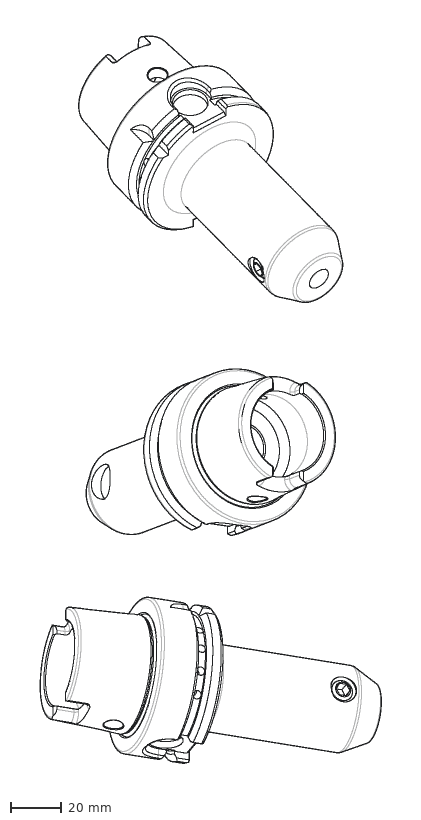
import cadquery as cq
import math


LENGTH = 132.0
TAPER_END = 29.8
FLANGE_FRONT = 31.8
FLANGE_BACK = 58.0
GROOVE_CENTRE = 49.9
NOSE_START = 120.8

SHANK_END_RADIUS = 22.6
SHANK_BASE_RADIUS = 24.0
UNDERCUT_RADIUS = 23.5
UNDERCUT_BEVEL_LENGTH = 0.8
FACE_RECESS_RADIUS = 25.2
FACE_RECESS_DEPTH = 0.5
FLANGE_DIAMETER = 63.0
FLANGE_RADIUS = FLANGE_DIAMETER / 2
GROOVE_RADIUS = 27.5
GROOVE_FLOOR_WIDTH = 3.3
GROOVE_MOUTH_WIDTH = 6.6
GROOVE_BEVEL_DEPTH = 2.8
RIM_BEVEL_LENGTH = 0.9
RIM_BEVEL_DROP = 0.3
BODY_RADIUS = 17.5
NECK_FILLET = 5.0
NOSE_ANGLE = 27.0
NOSE_SHOULDER_FILLET = 2.6
EDGE_ROUND = 0.9
TIP_ROUND = 1.3

CAVITY_RADIUS = 17.0
CAVITY_MOUTH_RADIUS = 17.5
CAVITY_LAND_END = 12.7
CAVITY_INNER_RADIUS = 19.1
CAVITY_FLOOR_X = 31.7
CAVITY_FLOOR_RADIUS = 15.8
CAVITY_FLOOR_BEVEL = 2.6
COOLANT_PORT_RADIUS = 8.8
COOLANT_PORT_MOUTH_RADIUS = 9.4
COOLANT_PORT_DEPTH = 10.5
BORE_RADIUS = 4.6

DRIVE_SLOT_WIDTH = 12.1
TOP_DRIVE_SLOT_DEPTH = 6.1
BOTTOM_DRIVE_SLOT_DEPTH = 9.9
DRIVE_SLOT_CORNER = 1.5
DRIVE_SLOT_MOUTH_BEVEL = 1.2
DRIVE_SLOT_LIP_ROUND = 3.2

CROSS_HOLE_X = 22.8
CROSS_HOLE_RADIUS = 3.8
CROSS_HOLE_BEVEL = 0.33

KEY_SLOT_X = 44.9
KEY_SLOT_RADIUS = 7.9
KEY_SLOT_FLOOR = 26.5
KEY_SLOT_BEVEL = 1.2
KEY_POCKET_RADIUS = 7.0
KEY_POCKET_DEPTH = 2.9

NOTCH_OFFSET = 20.0
NOTCH_CUTTER_RADIUS = 7.8
NOTCH_X = 44.9

BALANCE_HOLE_RADIUS = 1.65
BALANCE_HOLE_DEPTH = 6.6
BALANCE_HOLE_ANGLES = [25, 5, -15, -35]
RELIEF_HOLE_X = 111.7
RELIEF_HOLE_RADIUS = 7.0
RELIEF_HOLE_FLOOR = 13.2

SCREW_X = 113.8
SCREW_RADIUS = 4.4
SCREW_BEVEL = 1.2
SCREW_HEAD_Y = -16.6
SCREW_TIP_Y = -5.3
SCREW_HOLE_MOUTH_RADIUS = 5.4
HEX_ACROSS_FLATS = 5.0
HEX_DEPTH = 5.3

CLEARANCE = 1.3
TOLERANCE = 0.01


def revolved(points):
    """Solid of revolution about X from (x, radius) points, closed along the axis."""
    outline = [(points[0][0], 0), *points, (points[-1][0], 0)]
    return cq.Workplane("XY").polyline(outline).close().revolve(360, (0, 0, 0), (1, 0, 0))


def revolved_ring(points):
    """Ring about X whose section is the closed outline through (x, radius) points."""
    return cq.Workplane("XY").polyline(points).close().revolve(360, (0, 0, 0), (1, 0, 0))


def round_ring(body, x, radius, fillet):
    """Fillet the circular edge of the given radius at station x."""
    def is_ring(edge):
        box = edge.BoundingBox()
        at_station = abs(box.center.x - x) < TOLERANCE and box.xlen < TOLERANCE
        return at_station and abs(box.zlen - 2 * radius) < 2 * TOLERANCE

    return body.edges().filter(is_ring).fillet(fillet)


def turned_outside():
    nose_drop = (LENGTH - NOSE_START) * math.tan(math.radians(NOSE_ANGLE))
    tip_radius = BODY_RADIUS - nose_drop
    recess_floor_x = FLANGE_FRONT + FACE_RECESS_DEPTH
    recess_floor_radius = FACE_RECESS_RADIUS - FACE_RECESS_DEPTH
    body = revolved([
        (0, SHANK_END_RADIUS),
        (TAPER_END, SHANK_BASE_RADIUS),
        (TAPER_END + UNDERCUT_BEVEL_LENGTH, UNDERCUT_RADIUS),
        (recess_floor_x - recess_floor_radius + UNDERCUT_RADIUS, UNDERCUT_RADIUS),
        (recess_floor_x, recess_floor_radius),
        (FLANGE_FRONT, FACE_RECESS_RADIUS),
        (FLANGE_FRONT, FLANGE_RADIUS),
        (FLANGE_BACK, FLANGE_RADIUS),
        (FLANGE_BACK, BODY_RADIUS),
        (NOSE_START, BODY_RADIUS),
        (LENGTH, tip_radius),
    ])
    body = round_ring(body, 0, SHANK_END_RADIUS, EDGE_ROUND)
    body = round_ring(body, FLANGE_FRONT, FLANGE_RADIUS, EDGE_ROUND)
    body = round_ring(body, FLANGE_BACK, BODY_RADIUS, NECK_FILLET)
    body = round_ring(body, NOSE_START, BODY_RADIUS, NOSE_SHOULDER_FILLET)
    return round_ring(body, LENGTH, tip_radius, TIP_ROUND)


def gripper_groove():
    """Ring cut out of the flange: straight walls at the floor, bevelled at the mouth."""
    floor_half = GROOVE_FLOOR_WIDTH / 2
    mouth_half = GROOVE_MOUTH_WIDTH / 2
    bevel_foot = FLANGE_RADIUS - GROOVE_BEVEL_DEPTH
    ring = revolved_ring([
        (-floor_half, GROOVE_RADIUS),
        (-floor_half, bevel_foot),
        (-mouth_half, FLANGE_RADIUS),
        (-mouth_half, FLANGE_RADIUS + CLEARANCE),
        (mouth_half, FLANGE_RADIUS + CLEARANCE),
        (mouth_half, FLANGE_RADIUS),
        (floor_half, bevel_foot),
        (floor_half, GROOVE_RADIUS),
    ])
    return ring.translate((GROOVE_CENTRE, 0, 0))


def rim_bevel():
    """Shallow bevel around the back rim of the flange."""
    return revolved_ring([
        (FLANGE_BACK - RIM_BEVEL_LENGTH, FLANGE_RADIUS),
        (FLANGE_BACK, FLANGE_RADIUS - RIM_BEVEL_DROP),
        (FLANGE_BACK, FLANGE_RADIUS),
    ])


def inner_hollow():
    """Cavity of the shank, coolant port behind it and the bore out to the tip."""
    mouth_bevel = CAVITY_MOUTH_RADIUS - CAVITY_RADIUS
    port_bevel = COOLANT_PORT_MOUTH_RADIUS - COOLANT_PORT_RADIUS
    port_end = CAVITY_FLOOR_X + COOLANT_PORT_DEPTH
    return revolved([
        (0, CAVITY_MOUTH_RADIUS),
        (mouth_bevel, CAVITY_RADIUS),
        (CAVITY_LAND_END, CAVITY_RADIUS),
        (CAVITY_FLOOR_X - CAVITY_FLOOR_BEVEL, CAVITY_INNER_RADIUS),
        (CAVITY_FLOOR_X, CAVITY_FLOOR_RADIUS),
        (CAVITY_FLOOR_X, COOLANT_PORT_MOUTH_RADIUS),
        (CAVITY_FLOOR_X + port_bevel, COOLANT_PORT_RADIUS),
        (port_end, COOLANT_PORT_RADIUS),
        (port_end, BORE_RADIUS),
        (LENGTH, BORE_RADIUS),
    ])


def drive_slot(depth, side):
    """Slot through one wall of the shank end; side is +1 for the +Z wall, -1 for the -Z wall."""
    half = DRIVE_SLOT_WIDTH / 2
    lip = DRIVE_SLOT_LIP_ROUND
    height = SHANK_BASE_RADIUS + CLEARANCE
    lip_half = half + lip
    lip_top = math.sqrt(SHANK_END_RADIUS**2 - lip_half**2)
    lip_foot = lip_top - lip
    arc_offset = math.sqrt(0.5) * lip
    arc_mid_y = lip_half - arc_offset
    arc_mid_z = side * (lip_foot + arc_offset)
    slot = (
        cq.Workplane("YZ")
        .moveTo(-half, 0)
        .lineTo(-half, side * lip_foot)
        .threePointArc((-arc_mid_y, arc_mid_z), (-lip_half, side * lip_top))
        .lineTo(-lip_half, side * height)
        .lineTo(lip_half, side * height)
        .lineTo(lip_half, side * lip_top)
        .threePointArc((arc_mid_y, arc_mid_z), (half, side * lip_foot))
        .lineTo(half, 0)
        .close()
        .extrude(depth)
    )
    slot = slot.faces(">X").edges("not(|Y)").fillet(DRIVE_SLOT_CORNER)
    bevel = DRIVE_SLOT_MOUTH_BEVEL
    mouth_outline = [(0, -half - bevel), (bevel, -half), (bevel, half), (0, half + bevel)]
    mouth = cq.Workplane("XY").polyline(mouth_outline).close().extrude(side * SHANK_END_RADIUS)
    return slot.union(mouth)


def cut_cross_hole(body):
    """Hole through both walls of the shank, bevelled where it meets the taper."""
    hole = cq.Workplane("XY").center(CROSS_HOLE_X, 0).circle(CROSS_HOLE_RADIUS)
    body = body.cut(hole.extrude(FLANGE_RADIUS, both=True))

    def is_outer_rim(edge):
        box = edge.BoundingBox()
        at_hole = abs(box.center.x - CROSS_HOLE_X) < 0.1 and abs(box.ylen - 2 * CROSS_HOLE_RADIUS) < 0.1
        return at_hole and abs(box.center.z) > CAVITY_INNER_RADIUS + CLEARANCE

    return body.edges().filter(is_outer_rim).chamfer(CROSS_HOLE_BEVEL)


def key_slot(side):
    """Slot with a round end, open towards the back of the flange, with a round pocket in its floor."""
    height = side * (FLANGE_RADIUS - KEY_SLOT_FLOOR + CLEARANCE)
    floor = cq.Workplane("XY", origin=(KEY_SLOT_X, 0, side * KEY_SLOT_FLOOR))
    run = FLANGE_BACK - KEY_SLOT_X
    slot = floor.circle(KEY_SLOT_RADIUS).extrude(height)
    slot = slot.union(floor.center(run / 2, 0).rect(run, 2 * KEY_SLOT_RADIUS).extrude(height))
    pocket = floor.circle(KEY_POCKET_RADIUS).extrude(-side * KEY_POCKET_DEPTH)
    return slot.union(pocket)


def cut_key_slots(body):
    """Two opposite key slots, bevelled along the flange surface and where the floor ends."""
    for side in (1, -1):
        body = body.cut(key_slot(side))

    def is_slot_rim(edge):
        start = edge.startPoint()
        end = edge.endPoint()
        on_flange = all(abs(math.hypot(p.y, p.z) - FLANGE_RADIUS) < TOLERANCE for p in (start, end))
        across = max(abs(start.y), abs(end.y)) <= KEY_SLOT_RADIUS + TOLERANCE
        inside = min(start.x, end.x) > KEY_SLOT_X - KEY_SLOT_RADIUS - TOLERANCE
        return on_flange and across and inside

    def is_floor_end(edge):
        centre = edge.Center()
        at_back = abs(centre.x - FLANGE_BACK) < TOLERANCE
        return at_back and abs(abs(centre.z) - KEY_SLOT_FLOOR) < TOLERANCE

    body = body.edges().filter(is_slot_rim).chamfer(KEY_SLOT_BEVEL)
    return body.edges().filter(is_floor_end).chamfer(KEY_SLOT_BEVEL)


def index_notch():
    """Square corner notch on the -Y +Z side, ending in the round of its cutter."""
    floor = cq.Workplane("XY", origin=(NOTCH_X, -NOTCH_OFFSET - NOTCH_CUTTER_RADIUS, NOTCH_OFFSET))
    run = FLANGE_BACK - NOTCH_X
    height = FLANGE_RADIUS - NOTCH_OFFSET
    notch = floor.circle(NOTCH_CUTTER_RADIUS).extrude(height)
    return notch.union(floor.center(run / 2, 0).rect(run, 2 * NOTCH_CUTTER_RADIUS).extrude(height))


def balance_hole(angle):
    """Radial hole in the groove floor, at an angle measured from -Y towards +Z."""
    outward = cq.Vector(0, -math.cos(math.radians(angle)), math.sin(math.radians(angle)))
    foot = outward * (GROOVE_RADIUS - BALANCE_HOLE_DEPTH) + cq.Vector(GROOVE_CENTRE, 0, 0)
    length = FLANGE_RADIUS - GROOVE_RADIUS + BALANCE_HOLE_DEPTH
    return cq.Workplane(cq.Solid.makeCylinder(BALANCE_HOLE_RADIUS, length, foot, outward))


def relief_hole():
    """Blind hole on the +Y side, opposite the lock screw."""
    start = cq.Vector(RELIEF_HOLE_X, RELIEF_HOLE_FLOOR, 0)
    return cq.Workplane(cq.Solid.makeCylinder(RELIEF_HOLE_RADIUS, BODY_RADIUS, start, cq.Vector(0, 1, 0)))


def screw_hole():
    """Hole from the -Y side into the bore, bevelled at its mouth."""
    mouth = SCREW_HOLE_MOUTH_RADIUS
    bevel = mouth - SCREW_RADIUS
    rim_y = -math.sqrt(BODY_RADIUS**2 - mouth**2)
    outline = [
        (0, 0),
        (SCREW_RADIUS, 0),
        (SCREW_RADIUS, rim_y + bevel),
        (mouth, rim_y),
        (mouth, -BODY_RADIUS),
        (0, -BODY_RADIUS),
    ]
    hole = cq.Workplane("XY").polyline(outline).close().revolve(360, (0, 0, 0), (0, 1, 0))
    return hole.translate((SCREW_X, 0, 0))


def make_holder():
    body = cut_key_slots(turned_outside())
    body = body.cut(gripper_groove()).cut(rim_bevel()).cut(index_notch()).cut(inner_hollow())
    body = body.cut(drive_slot(TOP_DRIVE_SLOT_DEPTH, 1)).cut(drive_slot(BOTTOM_DRIVE_SLOT_DEPTH, -1))
    body = cut_cross_hole(body)
    for angle in BALANCE_HOLE_ANGLES:
        body = body.cut(balance_hole(angle))
    return body.cut(relief_hole()).cut(screw_hole())


def make_screw():
    """Headless screw with a bevelled outer end and a hexagon socket."""
    length = SCREW_TIP_Y - SCREW_HEAD_Y
    head = cq.Workplane("XZ", origin=(SCREW_X, SCREW_HEAD_Y, 0))
    screw = head.circle(SCREW_RADIUS).extrude(-length).faces("<Y").chamfer(SCREW_BEVEL)
    hexagon = head.polygon(6, HEX_ACROSS_FLATS / math.cos(math.radians(30)))
    return screw.cut(hexagon.extrude(-HEX_DEPTH))


holder = make_holder()
lock_screw = make_screw()
result = cq.Compound.makeCompound([holder.val(), lock_screw.val()])